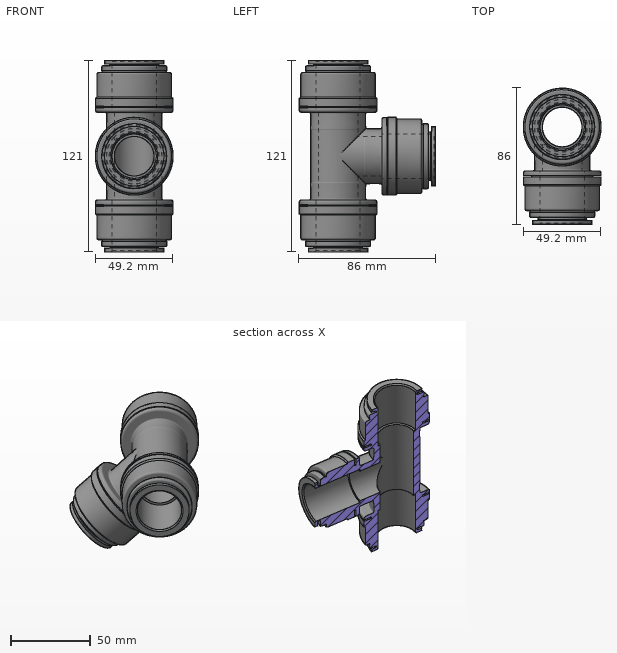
import cadquery as cq


run_reach = 121 / 2
collet_pull = 0.91
branch_reach = run_reach + collet_pull

hub_dia = 34.8
arm_root_dia = 35.1
arm_tip_dia = 34.8
hub_half_length = 16.5
arm_root_at = 17.1

flange_dia = 49.1
flange_at = 27.6
flange_height = 3.1
flange_fillet = 1.6
flange_root_fillet = 0.8

gap_dia = 38.6
gap_height = 0.7

collar_dia = 49.2
collar_top_at = 36.4
collar_bevel_height = 0.8
body_dia = 47.2
body_top_at = 52.9
body_fillet = 1.3

ring_dia = 41.1
ring_foot_dia = 40.3
ring_foot_height = 1.1
ring_top_at = 57.1
ring_fillet = 1.0

neck_dia = 30.6
neck_flare_dia = 31.6
neck_flare_height = 0.6
disc_dia = 37.5
disc_thickness = 2.4

bore_dia = 24.9
socket_dia = 28.0
mouth_chamfer = 0.8
socket_floor_at = flange_at

flange_top_at = flange_at + flange_height
collar_at = flange_top_at + gap_height

ARC_MID = 1 - 0.5 ** 0.5


def round_outer_corner(profile, radius, level, fillet, side):
    """Round the corner at (radius, level) of a ring; side is +1 for its top edge and -1 for its bottom edge."""
    mid = (radius - ARC_MID * fillet, level - side * ARC_MID * fillet)
    side_end = (radius, level - side * fillet)
    face_end = (radius - fillet, level)
    start, end = (side_end, face_end) if side > 0 else (face_end, side_end)
    return profile.lineTo(*start).threePointArc(mid, end)


def arm_solid(reach):
    """Outer shape of one arm, pointing up +Z from the tee centre to its collet disc."""
    disc_at = reach - disc_thickness
    tip_radius = arm_tip_dia / 2
    root = flange_root_fillet

    profile = cq.Workplane("XZ").lineTo(hub_dia / 2, 0)

    profile = profile.lineTo(hub_dia / 2, hub_half_length)
    profile = profile.lineTo(arm_root_dia / 2, arm_root_at)
    profile = profile.lineTo(tip_radius, flange_at - root)

    root_mid = (tip_radius + ARC_MID * root, flange_at - ARC_MID * root)
    profile = profile.threePointArc(root_mid, (tip_radius + root, flange_at))
    profile = round_outer_corner(profile, flange_dia / 2, flange_at, flange_fillet, -1)
    profile = profile.lineTo(flange_dia / 2, flange_top_at)

    profile = profile.lineTo(gap_dia / 2, flange_top_at).lineTo(gap_dia / 2, collar_at)
    profile = profile.lineTo(collar_dia / 2, collar_at).lineTo(collar_dia / 2, collar_top_at)
    profile = profile.lineTo(body_dia / 2, collar_top_at + collar_bevel_height)
    profile = round_outer_corner(profile, body_dia / 2, body_top_at, body_fillet, 1)

    profile = profile.lineTo(ring_foot_dia / 2, body_top_at)
    profile = profile.lineTo(ring_dia / 2, body_top_at + ring_foot_height)
    profile = round_outer_corner(profile, ring_dia / 2, ring_top_at, ring_fillet, 1)

    profile = profile.lineTo(neck_dia / 2, ring_top_at)
    profile = profile.lineTo(neck_dia / 2, disc_at - neck_flare_height)
    profile = profile.lineTo(neck_flare_dia / 2, disc_at)
    profile = profile.lineTo(disc_dia / 2, disc_at).lineTo(disc_dia / 2, reach)
    profile = profile.lineTo(0, reach).close()

    return profile.revolve(360, (0, 0), (0, 1))


def arm_bore(reach):
    """Space inside one arm: through bore, wider pipe socket and chamfered mouth."""
    profile = (
        cq.Workplane("XZ")
        .lineTo(bore_dia / 2, 0)
        .lineTo(bore_dia / 2, socket_floor_at)
        .lineTo(socket_dia / 2, socket_floor_at)
        .lineTo(socket_dia / 2, reach - mouth_chamfer)
        .lineTo(socket_dia / 2 + mouth_chamfer, reach)
        .lineTo(0, reach)
        .close()
    )
    return profile.revolve(360, (0, 0), (0, 1))


def join_arms(make_arm):
    """Combine the upper, lower and branch versions of an arm shape."""
    upper = make_arm(run_reach)
    lower = upper.rotate((0, 0, 0), (1, 0, 0), 180)
    branch = make_arm(branch_reach).rotate((0, 0, 0), (1, 0, 0), 90)
    return upper.union(lower).union(branch).clean()


result = join_arms(arm_solid).cut(join_arms(arm_bore)).clean()